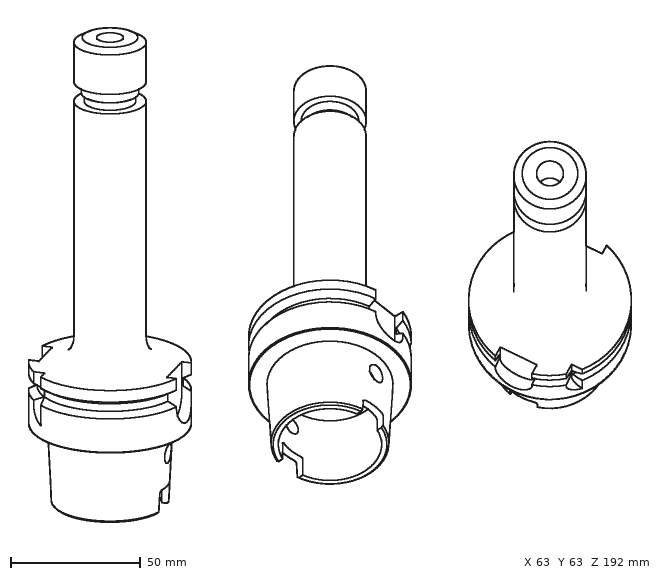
import cadquery as cq
import math

total_height = 192.0
gauge_z = 32.0
flange_height = 26.0
flange_top_z = gauge_z + flange_height
shaft_top_z = 165.7
collar_bottom_z = 168.8
nut_bottom_z = 173.8

gauge_radius = 24.4
taper_ratio = 0.1
tip_radius = gauge_radius - gauge_z * taper_ratio / 2
tip_chamfer = 0.8
cavity_radius = 20.0
cavity_depth = gauge_z

flange_radius = 31.5
flange_chamfer = 0.4
groove_centre_z = 49.7
groove_width = 7.0
groove_floor_radius = 28.2
groove_flank_angle = 30.0

shaft_radius = 14.0
root_fillet = 10.0
neck_radius = 10.0
collar_radius = 11.1
collar_taper_height = 0.4
nut_radius = shaft_radius
nut_face_radius = 10.8
nut_chamfer_height = 2.0
bore_radius = 5.2
bore_depth = total_height - nut_bottom_z

slot_end_z = 37.0
narrow_slot_width = 16.0
wide_slot_width = 18.0
slot_floor_x = 26.3
notch_floor_x = 20.0
notch_wall_y = -19.8

key_width = 12.0
left_key_height = 6.0
right_key_height = 9.5
key_fillet = 1.2
cross_hole_radius = 3.8
cross_hole_z = 23.0


def revolved_body():
    groove_depth = flange_radius - groove_floor_radius
    flank_height = groove_depth * math.tan(math.radians(groove_flank_angle))
    groove_low_z = groove_centre_z - groove_width / 2
    groove_high_z = groove_centre_z + groove_width / 2
    fillet_centre_r = shaft_radius + root_fillet
    fillet_centre_z = flange_top_z + root_fillet
    fillet_mid_offset = root_fillet * math.sqrt(0.5)
    profile = (
        cq.Workplane("XZ")
        .lineTo(tip_radius - tip_chamfer, 0)
        .lineTo(tip_radius, tip_chamfer)
        .lineTo(gauge_radius, gauge_z)
        .lineTo(flange_radius - flange_chamfer, gauge_z)
        .lineTo(flange_radius, gauge_z + flange_chamfer)
        .lineTo(flange_radius, groove_low_z)
        .lineTo(groove_floor_radius, groove_low_z + flank_height)
        .lineTo(groove_floor_radius, groove_high_z - flank_height)
        .lineTo(flange_radius, groove_high_z)
        .lineTo(flange_radius, flange_top_z)
        .lineTo(fillet_centre_r, flange_top_z)
        .threePointArc(
            (fillet_centre_r - fillet_mid_offset, fillet_centre_z - fillet_mid_offset),
            (shaft_radius, fillet_centre_z),
        )
        .lineTo(shaft_radius, shaft_top_z)
        .lineTo(neck_radius, shaft_top_z)
        .lineTo(neck_radius, collar_bottom_z)
        .lineTo(collar_radius, collar_bottom_z + collar_taper_height)
        .lineTo(collar_radius, nut_bottom_z)
        .lineTo(nut_radius, nut_bottom_z)
        .lineTo(nut_radius, total_height - nut_chamfer_height)
        .lineTo(nut_face_radius, total_height)
        .lineTo(0, total_height)
        .close()
    )
    return profile.revolve(360, (0, 0), (0, 1))


def drive_slot(side, width, floor_x, centre_y):
    """Slot open at the flange top with a half-round lower end; side is -1 for -X, +1 for +X."""
    radius = width / 2
    round_centre_z = slot_end_z + radius
    outline = (
        cq.Workplane("YZ", origin=(side * floor_x, centre_y, 0))
        .moveTo(-radius, flange_top_z)
        .lineTo(-radius, round_centre_z)
        .threePointArc((0, slot_end_z), (radius, round_centre_z))
        .lineTo(radius, flange_top_z)
        .close()
    )
    return outline.extrude(side * flange_radius)


def key_slot(side, height):
    """Slot across the wall of the taper tip; side is -1 for -X, +1 for +X."""
    return (
        cq.Workplane("XY")
        .box(flange_radius, key_width, height, centered=(False, True, False))
        .edges("|X and >Z")
        .fillet(key_fillet)
        .translate((0 if side > 0 else -flange_radius, 0, 0))
    )


nut_bore = (
    cq.Workplane("XY")
    .workplane(offset=total_height - bore_depth)
    .circle(bore_radius)
    .extrude(bore_depth)
)

cavity = cq.Workplane("XY").circle(cavity_radius).extrude(cavity_depth)

cross_hole = (
    cq.Workplane("YZ")
    .center(0, cross_hole_z)
    .circle(cross_hole_radius)
    .extrude(flange_radius, both=True)
)

notch_centre_y = notch_wall_y - narrow_slot_width / 2

result = (
    revolved_body()
    .cut(nut_bore)
    .cut(cavity)
    .cut(drive_slot(-1, narrow_slot_width, slot_floor_x, 0))
    .cut(drive_slot(1, wide_slot_width, slot_floor_x, 0))
    .cut(drive_slot(-1, narrow_slot_width, notch_floor_x, notch_centre_y))
    .cut(key_slot(-1, left_key_height))
    .cut(key_slot(1, right_key_height))
    .cut(cross_hole)
)